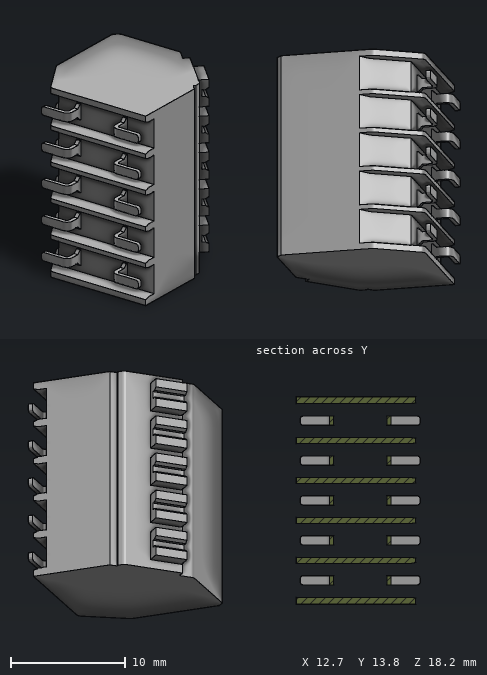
import cadquery as cq
import math


height = 18.2
width = 12.7
depth = 12.89
corner_chamfer = 0.5
slope_width = 2.37
slope_angle = 60.0
slope_top_radius = 1.0
slope_bottom_radius = 0.5
back_side_length = 7.25
nose_rise = 0.64
nose_start = 0.7
nose_end = 6.65
nose_tip_x = 12.38
nose_tip_radius = 0.5
back_radius = 0.5

pole_count = 5
pole_pitch = 3.5
first_rib_z = (height - pole_count * pole_pitch) / 2
rib_edge_thickness = 0.42
rib_bevel_height = 0.136
rib_bevel_width = 0.47
front_recess = 1.24
slope_recess = 0.6

pin_mid_x = 7.1
pin_inner_gap = 2.31
pin_thickness = 0.4
pin_bend_radius = 0.64
pin_length = 5.26
pin_foot_y = -0.62
pin_width = 0.84
pin_tip_radius = 0.27
pin_root_width = 1.53
pin_root_straight = 0.13
pin_embed = 0.36

button_length = 2.95
button_height = 1.22
button_width = 2.6
button_end_gap = 0.1
button_slot_width = 0.62
button_slot_depth = 0.64
button_slot_chamfer = 0.31

slope_tan = math.tan(math.radians(slope_angle))
slope_height = slope_width * slope_tan
diagonal = math.sqrt(0.5)


def on_diagonal(along, out):
    """XY point measured along the diagonal back corner and square out of it."""
    x = width + (out - along) * diagonal
    y = back_side_length + (out + along) * diagonal
    return x, y


def round_slope(block):
    """Round both ends of the sloped front-left corner."""
    block = block.edges(cq.selectors.NearestToPointSelector((0, slope_height, height / 2)))
    block = block.fillet(slope_top_radius)
    block = block.edges(cq.selectors.NearestToPointSelector((slope_width, 0, height / 2)))
    return block.fillet(slope_bottom_radius)


def full_prism():
    """Full-height prism of the end-plate outline."""
    diagonal_top_x = width + back_side_length - depth
    nose_tip_y = sum(on_diagonal(0, nose_rise)) - nose_tip_x
    nose_root = on_diagonal(nose_start, 0)
    nose_foot = (nose_tip_x, nose_root[1] + nose_tip_x - nose_root[0])
    outline = [
        (slope_width, 0),
        (width, 0),
        (width, back_side_length),
        nose_root,
        nose_foot,
        (nose_tip_x, nose_tip_y),
        on_diagonal(nose_end, nose_rise),
        on_diagonal(nose_end, 0),
        (diagonal_top_x, depth),
        (corner_chamfer, depth),
        (0, depth - corner_chamfer),
        (0, slope_height),
    ]
    block = round_slope(cq.Workplane("XY").polyline(outline).close().extrude(height))
    block = block.edges(cq.selectors.NearestToPointSelector((nose_tip_x, nose_tip_y, height / 2)))
    block = block.fillet(nose_tip_radius)
    block = block.edges(cq.selectors.NearestToPointSelector((diagonal_top_x, depth, height / 2)))
    return block.fillet(back_radius)


def core_prism():
    """Full-height region of the housing behind the bays."""
    slope_top_y = slope_height + slope_recess / math.cos(math.radians(slope_angle))
    outline = [
        ((slope_top_y - front_recess) / slope_tan, front_recess),
        (width, front_recess),
        (width, depth),
        (0, depth),
        (0, slope_top_y),
    ]
    return cq.Workplane("XY").polyline(outline).close().extrude(height)


def rib_bevel():
    """Slab from Z = 0 up whose front, slope and left edges lean inwards."""
    overrun = 2 * rib_bevel_width
    outline = [
        (slope_width, 0),
        (width + overrun, 0),
        (width + overrun, depth / 2 + overrun),
        (0, depth / 2 + overrun),
        (0, slope_height),
    ]
    block = round_slope(cq.Workplane("XY").polyline(outline).close().extrude(height))
    lean = math.degrees(math.atan2(rib_bevel_width, rib_bevel_height))
    base = block.faces("<Z").wires().toPending().workplane(invert=True)
    return base.extrude(rib_bevel_height, taper=lean, combine=False)


def housing():
    """Core with a bevelled rib between neighbouring bays and at both ends."""
    prism = full_prism()
    body = prism.intersect(core_prism())
    upper_bevel = rib_bevel()
    lower_bevel = upper_bevel.mirror("XY")
    half_edge = rib_edge_thickness / 2
    for index in range(pole_count + 1):
        rib_z = first_rib_z + index * pole_pitch
        bottom = 0 if index == 0 else rib_z - half_edge
        top = height if index == pole_count else rib_z + half_edge
        slab = cq.Workplane("XY", origin=(0, 0, bottom)).box(width, depth, top - bottom, centered=False)
        body = body.union(prism.intersect(slab))
        if index < pole_count:
            body = body.union(prism.intersect(upper_bevel.translate((0, 0, top))))
        if index > 0:
            body = body.union(prism.intersect(lower_bevel.translate((0, 0, bottom))))
    return body


def right_pin():
    """Bent pin with its foot towards +X, centred on Z = 0."""
    inner_x = pin_mid_x + pin_inner_gap
    tip_x = pin_mid_x + pin_length
    root_y = front_recess + pin_embed
    foot_top = pin_foot_y + pin_thickness
    inner_radius = pin_bend_radius - pin_thickness
    side = (
        cq.Workplane("XY")
        .moveTo(inner_x, root_y)
        .lineTo(inner_x, pin_foot_y + pin_bend_radius)
        .radiusArc((inner_x + pin_bend_radius, pin_foot_y), -pin_bend_radius)
        .lineTo(tip_x, pin_foot_y)
        .lineTo(tip_x, foot_top)
        .lineTo(inner_x + pin_bend_radius, foot_top)
        .radiusArc((inner_x + pin_thickness, foot_top + inner_radius), inner_radius)
        .lineTo(inner_x + pin_thickness, root_y)
        .close()
        .extrude(pin_root_width / 2, both=True)
    )
    straight_y = front_recess - pin_root_straight
    taper_y = straight_y - (pin_root_width - pin_width) / 2
    front = (
        cq.Workplane("YZ")
        .polyline([
            (pin_foot_y, -pin_width / 2),
            (taper_y, -pin_width / 2),
            (straight_y, -pin_root_width / 2),
            (root_y, -pin_root_width / 2),
            (root_y, pin_root_width / 2),
            (straight_y, pin_root_width / 2),
            (taper_y, pin_width / 2),
            (pin_foot_y, pin_width / 2),
        ])
        .close()
        .extrude(tip_x)
    )
    return side.intersect(front).edges("|Y and >X").fillet(pin_tip_radius)


def button():
    """Slotted push button on the nose, centred on Z = 0."""
    half_width = button_width / 2
    half_slot = button_slot_width / 2
    half_mouth = half_slot + button_slot_chamfer * diagonal
    start = nose_end - button_end_gap
    seat = on_diagonal(start, nose_rise)
    plane = cq.Plane(origin=(*seat, 0), xDir=(0, 0, -1), normal=(1, -1, 0))
    slot_floor = button_height - button_slot_depth
    chamfer_y = button_height - button_slot_chamfer
    section = [
        (-half_width, 0),
        (half_width, 0),
        (half_width, button_height),
        (half_mouth, button_height),
        (half_slot, chamfer_y),
        (half_slot, slot_floor),
        (-half_slot, slot_floor),
        (-half_slot, chamfer_y),
        (-half_mouth, button_height),
        (-half_width, button_height),
    ]
    return cq.Workplane(plane).polyline(section).close().extrude(button_length)


pin = right_pin()
opposite_pin = pin.mirror("YZ", (pin_mid_x, 0, 0))
push_button = button()

result = housing()
for pole in range(pole_count):
    pole_z = first_rib_z + (pole + 0.5) * pole_pitch
    for piece in (pin, opposite_pin, push_button):
        result = result.union(piece.translate((0, 0, pole_z)))